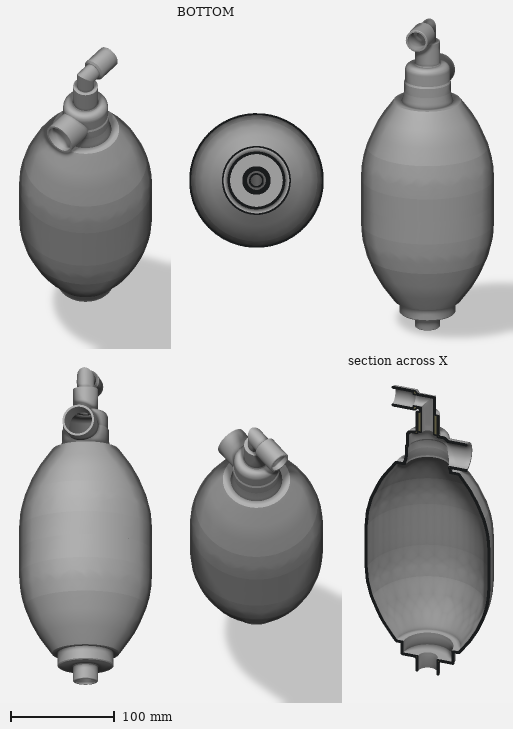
import cadquery as cq
import math


WALL = 2.05
EDGE = 1.0
TIP = 0.5

BAG_RADIUS = 128.0 / 2
BAG_MIDDLE = 129.5
BAG_BAND = 23.0
BAG_SHOULDER = 55.0
BAG_SHOULDER_RADIUS = 117.3 / 2
BAG_RIM = 99.5
BAG_RIM_RADIUS = 67.5 / 2
BAG_HALF_LENGTH = 101.2
BAG_END_RADIUS = 32.5
SHOULDER_MIDDLE = (62.5, 39.3)
DOME_MIDDLE = (48.0, 78.5)

TUBE_RADIUS = 24.0 / 2
TUBE_BORE = TUBE_RADIUS - WALL

VALVE_BOTTOM = BAG_MIDDLE + BAG_HALF_LENGTH
FLARE_TOP = 241.2
COLLAR_TOP = 250.3
CAP_BOTTOM = 252.2
CAP_TOP = 268.5
SLEEVE_TOP = 291.5
FLARE_RADIUS = 24.8
COLLAR_RADIUS = 45.0 / 2
CAP_RADIUS = 43.0 / 2
CAP_FILLET = 5.7
FLARE_MIDDLE = (23.3, 236.0)
PORT_HEIGHT = 250.0
PORT_RADIUS = 15.5
PORT_START = 9.5
PORT_REACH = 40.2

ELBOW_RADIUS = 16.5 / 2
ELBOW_BORE = 12.5 / 2
HEAD_RADIUS = 22 / 2
HEAD_BORE = HEAD_RADIUS - WALL
ELBOW_HEIGHT = 314.5 - HEAD_RADIUS
HEAD_START = 11.0
HEAD_FULL = 12.5
HEAD_END = 36.2
HEAD_CONE_RADIUS = 18.0 / 2

FITTING_RADIUS = 54.0 / 2
FITTING_TOP = BAG_MIDDLE - BAG_HALF_LENGTH
FITTING_STEP = 15.0


def cylinder(radius, bottom, top):
    """Upright cylinder on the Z axis."""
    return cq.Workplane("XY").workplane(offset=bottom).circle(radius).extrude(top - bottom)


def port_cylinder(radius):
    """Cylinder from the valve cavity out to the port mouth, toward -Y."""
    return (
        cq.Workplane("XZ", origin=(0, -PORT_START, PORT_HEIGHT))
        .circle(radius)
        .extrude(PORT_REACH - PORT_START)
    )


def dome(inset, end):
    """Solid half bag above z = 0, with its radii reduced by inset."""
    return (
        cq.Workplane("XZ")
        .lineTo(BAG_RADIUS - inset, 0)
        .lineTo(BAG_RADIUS - inset, BAG_BAND)
        .threePointArc(
            (SHOULDER_MIDDLE[0] - inset, SHOULDER_MIDDLE[1]),
            (BAG_SHOULDER_RADIUS - inset, BAG_SHOULDER),
        )
        .threePointArc(
            (DOME_MIDDLE[0] - inset, DOME_MIDDLE[1]),
            (BAG_RIM_RADIUS - inset, BAG_RIM),
        )
        .lineTo(BAG_END_RADIUS - inset, end)
        .lineTo(0, end)
        .close()
        .revolve(360, (0, 0), (0, 1))
    )


def make_bag_half(opening_radius):
    """Half shell standing on the seam plane, open at its narrow end."""
    shell = dome(0, BAG_HALF_LENGTH).cut(dome(WALL, BAG_RIM))
    return shell.cut(cylinder(opening_radius, BAG_BAND, BAG_HALF_LENGTH))


def valve_core(inset):
    """Solid flare, collar, cap and sleeve; inset gives the cavity inside the wall."""
    top = CAP_TOP - inset
    fillet = CAP_FILLET - inset
    cap_radius = CAP_RADIUS - inset
    collar_radius = COLLAR_RADIUS - inset
    tube_radius = TUBE_RADIUS - inset
    drop = inset / 2
    diagonal = fillet * (1 - math.sqrt(0.5))
    return (
        cq.Workplane("XZ")
        .moveTo(0, VALVE_BOTTOM)
        .lineTo(FLARE_RADIUS - inset, VALVE_BOTTOM)
        .threePointArc((FLARE_MIDDLE[0] - inset, FLARE_MIDDLE[1]), (collar_radius, FLARE_TOP))
        .lineTo(collar_radius, COLLAR_TOP - drop)
        .lineTo(cap_radius, CAP_BOTTOM - drop)
        .lineTo(cap_radius, top - fillet)
        .threePointArc((cap_radius - diagonal, top - diagonal), (cap_radius - fillet, top))
        .lineTo(tube_radius + EDGE, top)
        .lineTo(tube_radius, top + EDGE)
        .lineTo(tube_radius, SLEEVE_TOP)
        .lineTo(0, SLEEVE_TOP)
        .close()
        .revolve(360, (0, 0), (0, 1))
    )


def make_valve():
    """Hollow valve with its sleeve on top and its port at the side."""
    outside = valve_core(0).union(port_cylinder(PORT_RADIUS))
    return outside.cut(valve_core(WALL)).cut(port_cylinder(PORT_RADIUS - WALL))


def mitred_bend(radius):
    """Right-angle bend from the sleeve top up and over toward +Y."""
    upright = [
        (-radius, SLEEVE_TOP),
        (radius, SLEEVE_TOP),
        (radius, ELBOW_HEIGHT - radius),
        (-radius, ELBOW_HEIGHT + radius),
    ]
    level = [
        (HEAD_START, ELBOW_HEIGHT - radius),
        (radius, ELBOW_HEIGHT - radius),
        (-radius, ELBOW_HEIGHT + radius),
        (HEAD_START, ELBOW_HEIGHT + radius),
    ]
    width = 2 * radius
    rising = cylinder(radius, SLEEVE_TOP, ELBOW_HEIGHT + radius).intersect(
        cq.Workplane("YZ").polyline(upright).close().extrude(width, both=True)
    )
    across = (
        cq.Workplane("XZ", origin=(0, -radius, ELBOW_HEIGHT))
        .circle(radius)
        .extrude(-(HEAD_START + radius))
        .intersect(cq.Workplane("YZ").polyline(level).close().extrude(width, both=True))
    )
    return rising.union(across)


def make_elbow():
    """Elbow with a plug that fills the sleeve and a wider socket head."""
    head = (
        cq.Workplane("YZ", origin=(0, 0, ELBOW_HEIGHT))
        .moveTo(HEAD_START, 0)
        .lineTo(HEAD_START, HEAD_CONE_RADIUS)
        .lineTo(HEAD_FULL, HEAD_RADIUS)
        .lineTo(HEAD_END - TIP, HEAD_RADIUS)
        .lineTo(HEAD_END, HEAD_RADIUS - TIP)
        .lineTo(HEAD_END, HEAD_BORE)
        .lineTo(HEAD_FULL + WALL, HEAD_BORE)
        .lineTo(HEAD_FULL + WALL, 0)
        .close()
        .revolve(360, (0, 0), (1, 0))
    )
    plug = cylinder(TUBE_BORE, CAP_TOP, SLEEVE_TOP)
    head_passage = (
        cq.Workplane("XZ", origin=(0, HEAD_START, ELBOW_HEIGHT))
        .circle(ELBOW_BORE)
        .extrude(HEAD_START - HEAD_END)
    )
    return (
        mitred_bend(ELBOW_RADIUS)
        .union(head)
        .union(plug)
        .cut(mitred_bend(ELBOW_BORE))
        .cut(head_passage)
        .cut(cylinder(ELBOW_BORE, CAP_TOP, SLEEVE_TOP))
    )


def root_ring():
    """Small sloping ring where the stub leaves the underside of the cup."""
    return (
        cq.Workplane("XZ")
        .moveTo(TUBE_BORE, FITTING_STEP)
        .lineTo(TUBE_RADIUS + EDGE, FITTING_STEP)
        .lineTo(TUBE_RADIUS, FITTING_STEP - EDGE)
        .lineTo(TUBE_BORE, FITTING_STEP - EDGE)
        .close()
        .revolve(360, (0, 0), (0, 1))
    )


def make_fitting():
    """Wide cup under the bag with a narrow intake stub."""
    cup = cylinder(FITTING_RADIUS, FITTING_STEP, FITTING_TOP).faces("<Z").edges().chamfer(EDGE)
    stub = cylinder(TUBE_RADIUS, 0, FITTING_STEP).faces("<Z").edges().chamfer(TIP)
    return (
        cup.union(stub)
        .union(root_ring())
        .cut(cylinder(FITTING_RADIUS - WALL, FITTING_STEP + WALL, FITTING_TOP))
        .cut(cylinder(TUBE_BORE, 0, FITTING_TOP))
    )


valve = make_valve()
elbow = make_elbow()
fitting = make_fitting()

seam = (0, 0, BAG_MIDDLE)
upper_bag = make_bag_half(FLARE_RADIUS - WALL).translate(seam)
lower_bag = make_bag_half(FITTING_RADIUS - WALL).mirror("XY").translate(seam)

bodies = [valve, elbow, fitting, upper_bag, lower_bag]
result = cq.Compound.makeCompound([body.solids().val() for body in bodies])